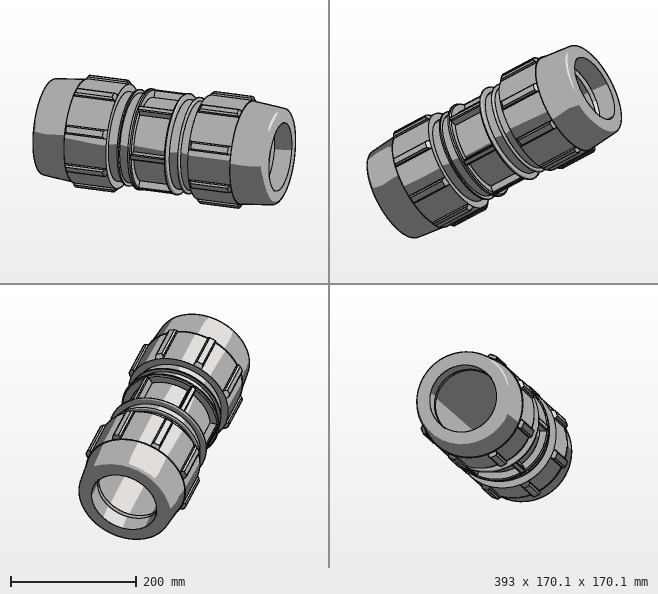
import cadquery as cq

LENGTH = 393.0
HALF_LENGTH = LENGTH / 2

BODY_RADIUS = 144.5 / 2

BORE_RADIUS = 55.0
GROOVE_RADIUS = 62.0
GROOVE_DEPTH = 29.0
GROOVE_LENGTH = 7.0

NUT_INNER_X = 69.0
NUT_SHOULDER_X = 140.3
NUT_RADIUS = 84.0
CONE_BASE_RADIUS = 83.0
CONE_MID_X = 169.0
CONE_MID_RADIUS = 80.0
CONE_TIP_RADIUS = 77.5
MOUTH_ROUND = 5.5

GRIP_COUNT = 8
GRIP_ROOT_OVERLAP = 4.0
GRIP_BASE_WIDTH = 14.0
GRIP_TOP_WIDTH = 10.0
GRIP_SIDE_RADIUS = 87.0
GRIP_TOP_RADIUS = 90.0
GRIP_OUTER_SLOPE = 3.5
GRIP_INNER_SLOPE = 5.5

RING_RADIUS = 78.0
RING_X = 50.0
RING_WIDTH = 3.0
RING_ROUND = 2.0

FLANGE_RADIUS = 163.0 / 2
FLANGE_INNER_X = 28.0
FLANGE_OUTER_X = 33.8
FLANGE_ROUND = 2.0
FLANGE_CHAMFER = 2.0
FLOOR_RADIUS = 68.0
BAR_COUNT = 6
BAR_TOP_RADIUS = 80.5
BAR_WIDTH = 9.5
BAR_CHAMFER = 1.5


def cylinder(radius, x_start, x_end):
    """Solid cylinder along X between two stations."""
    return cq.Workplane("YZ", origin=(x_start, 0, 0)).circle(radius).extrude(x_end - x_start)


def revolve_about_x(outline):
    """Turn a closed (x, radius) outline about the X axis."""
    return outline.close().revolve(360, (0, 0, 0), (1, 0, 0))


def make_nut():
    """Right-hand nut: ribbed sleeve followed by a gently curved, tapering nose."""
    nut = revolve_about_x(
        cq.Workplane("XY")
        .moveTo(NUT_INNER_X, 0)
        .lineTo(NUT_INNER_X, NUT_RADIUS)
        .lineTo(NUT_SHOULDER_X, NUT_RADIUS)
        .lineTo(NUT_SHOULDER_X, CONE_BASE_RADIUS)
        .threePointArc((CONE_MID_X, CONE_MID_RADIUS), (HALF_LENGTH, CONE_TIP_RADIUS))
        .lineTo(HALF_LENGTH, 0)
    )
    nut = nut.faces(">X").edges().fillet(MOUTH_ROUND)
    grip = make_grip()
    for i in range(GRIP_COUNT):
        angle = (i + 0.5) * 360 / GRIP_COUNT
        nut = nut.union(grip.rotate((0, 0, 0), (1, 0, 0), angle))
    return nut


def make_grip():
    """Rib on the +Z side: bevelled section, with both ends sloping down to the sleeve."""
    root_radius = NUT_RADIUS - GRIP_ROOT_OVERLAP
    half_base = GRIP_BASE_WIDTH / 2
    half_top = GRIP_TOP_WIDTH / 2
    section = (
        cq.Workplane("YZ", origin=(NUT_INNER_X, 0, 0))
        .polyline([
            (-half_base, root_radius),
            (-half_base, GRIP_SIDE_RADIUS),
            (-half_top, GRIP_TOP_RADIUS),
            (half_top, GRIP_TOP_RADIUS),
            (half_base, GRIP_SIDE_RADIUS),
            (half_base, root_radius),
        ])
        .close()
        .extrude(NUT_SHOULDER_X - NUT_INNER_X)
    )
    side_profile = (
        cq.Workplane("XZ")
        .polyline([
            (NUT_INNER_X, root_radius),
            (NUT_INNER_X, NUT_RADIUS),
            (NUT_INNER_X + GRIP_INNER_SLOPE, GRIP_TOP_RADIUS),
            (NUT_SHOULDER_X - GRIP_OUTER_SLOPE, GRIP_TOP_RADIUS),
            (NUT_SHOULDER_X, NUT_RADIUS),
            (NUT_SHOULDER_X, root_radius),
        ])
        .close()
        .extrude(GRIP_BASE_WIDTH, both=True)
    )
    return section.intersect(side_profile)


def make_half_body():
    """Right half of the tube with its stop ring and collar flange."""
    tube = cylinder(BODY_RADIUS, FLANGE_INNER_X, NUT_INNER_X)
    ring = cylinder(RING_RADIUS, RING_X, RING_X + RING_WIDTH).faces(">X").edges().fillet(RING_ROUND)
    flange = cylinder(FLANGE_RADIUS, FLANGE_INNER_X, FLANGE_OUTER_X)
    flange = flange.faces(">X").edges().fillet(FLANGE_ROUND)
    flange = flange.faces("<X").edges().chamfer(FLANGE_CHAMFER)
    return tube.union(ring).union(flange)


def make_collar_middle():
    """Recessed floor between the flanges, crossed by evenly spaced bars."""
    middle = cylinder(FLOOR_RADIUS, -FLANGE_INNER_X, FLANGE_INNER_X)
    bar_half_length = (FLANGE_INNER_X + FLANGE_OUTER_X) / 2
    bar_height = BAR_TOP_RADIUS - BORE_RADIUS
    bar = (
        cq.Workplane("XY", origin=(0, 0, BORE_RADIUS))
        .box(2 * bar_half_length, BAR_WIDTH, bar_height, centered=(True, True, False))
        .edges("|X and >Z")
        .chamfer(BAR_CHAMFER)
    )
    for i in range(BAR_COUNT):
        angle = (i + 0.5) * 360 / BAR_COUNT
        middle = middle.union(bar.rotate((0, 0, 0), (1, 0, 0), angle))
    return middle


def make_bore():
    """Through bore with a groove near each mouth that tapers back to the bore going inward."""
    groove_outer_x = HALF_LENGTH - GROOVE_DEPTH
    groove = revolve_about_x(
        cq.Workplane("XY")
        .moveTo(groove_outer_x, 0)
        .lineTo(groove_outer_x, GROOVE_RADIUS)
        .lineTo(groove_outer_x - GROOVE_LENGTH, BORE_RADIUS)
        .lineTo(groove_outer_x - GROOVE_LENGTH, 0)
    )
    bore = cylinder(BORE_RADIUS, -HALF_LENGTH, HALF_LENGTH)
    return bore.union(groove).union(groove.mirror("YZ"))


right_half = make_nut().union(make_half_body())
result = make_collar_middle().union(right_half).union(right_half.mirror("YZ")).cut(make_bore())